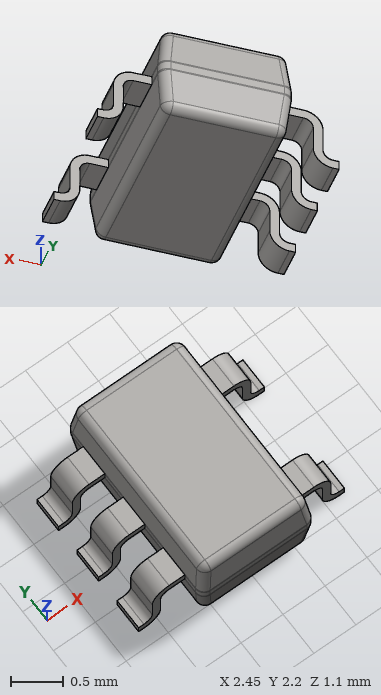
import cadquery as cq
import math

body_length_x = 1.35
body_length_y = 2.2
body_bottom = 0.1
body_top = 1.1
body_taper = 0.05
edge_radius = 0.1

span_x = 2.45
lead_width = 0.35
lead_thickness = 0.1
lead_pitch = 0.65
inner_bend = 0.1
foot_flat = 0.0625

body_middle = (body_bottom + body_top) / 2
band_bottom = body_middle - lead_thickness / 2
band_top = body_middle + lead_thickness / 2

outer_bend = inner_bend + lead_thickness
left_lead_y = (-lead_pitch, 0, lead_pitch)
right_lead_y = (-lead_pitch, lead_pitch)


def make_body():
    """Straight middle band with a tapered half above and below, all edges rounded."""
    half_height = body_top - band_top
    taper_angle = math.degrees(math.atan(body_taper / half_height))

    band = cq.Workplane("XY").workplane(offset=band_bottom).rect(body_length_x, body_length_y)
    block = band.extrude(lead_thickness)
    upper = block.faces(">Z").wires().toPending().extrude(half_height, taper=taper_angle)
    block = upper.faces("<Z").wires().toPending().extrude(-half_height, taper=taper_angle)
    return block.edges().fillet(edge_radius)


def make_lead(side, centre_y):
    """S-shaped strip from the body side to its foot; side is -1 for left and +1 for right."""
    diagonal = math.sqrt(0.5)
    body_side = body_length_x / 2
    tip = span_x / 2

    foot_bend_x = tip - foot_flat
    foot_bend_z = outer_bend
    shoulder_x = foot_bend_x - inner_bend - outer_bend
    shoulder_z = band_top - outer_bend

    def on_shoulder(radius):
        return (shoulder_x + radius * diagonal, shoulder_z + radius * diagonal)

    def on_foot_bend(radius):
        return (foot_bend_x - radius * diagonal, foot_bend_z - radius * diagonal)

    profile = (
        cq.Workplane("XZ", origin=(0, lead_width / 2, 0))
        .moveTo(body_side, band_top)
        .lineTo(shoulder_x, band_top)
        .threePointArc(on_shoulder(outer_bend), (shoulder_x + outer_bend, shoulder_z))
        .lineTo(foot_bend_x - inner_bend, foot_bend_z)
        .threePointArc(on_foot_bend(inner_bend), (foot_bend_x, lead_thickness))
        .lineTo(tip, lead_thickness)
        .lineTo(tip, 0)
        .lineTo(foot_bend_x, 0)
        .threePointArc(on_foot_bend(outer_bend), (foot_bend_x - outer_bend, foot_bend_z))
        .lineTo(shoulder_x + inner_bend, shoulder_z)
        .threePointArc(on_shoulder(inner_bend), (shoulder_x, band_bottom))
        .lineTo(body_side, band_bottom)
        .close()
    )
    lead = profile.extrude(lead_width)
    if side < 0:
        lead = lead.mirror("YZ")
    return lead.translate((0, centre_y, 0))


body = make_body()
left_leads = [make_lead(-1, y) for y in left_lead_y]
right_leads = [make_lead(1, y) for y in right_lead_y]

result = cq.Compound.makeCompound([body.val()] + [lead.val() for lead in left_leads + right_leads])